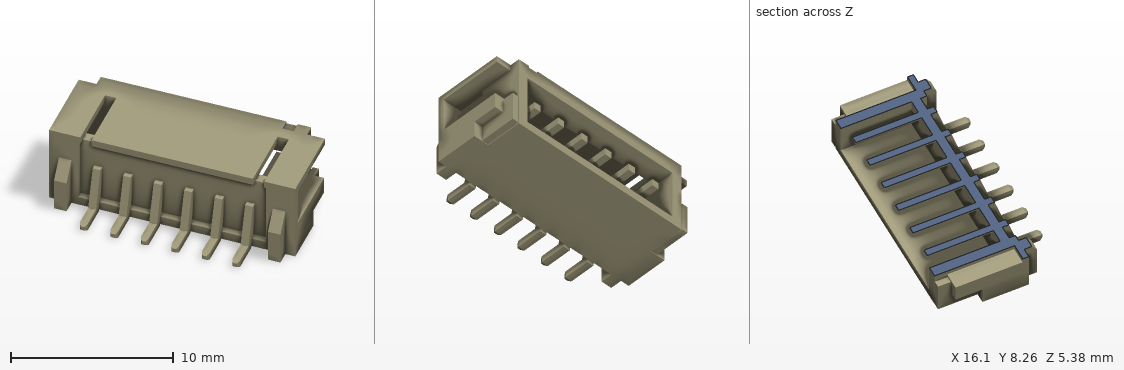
import cadquery as cq


body_width = 16.15
body_height = 5.38
body_depth = 5.9
half_width = body_width / 2
roof_thickness = 0.48
roof_under_z = body_height - roof_thickness

side_recess_depth = 1.17
front_wall = 0.43
cheek_top_z = 2.37
cheek_back_y = 5.02
cheek_step_z = 1.2
cheek_step_y = 3.18
ear_back_y = 5.17

side_pocket_length = 2.25
side_pocket_bottom_z = 4.27
side_pocket_depth = 0.3

cavity_half_width = 6.16
cavity_floor_z = 0.59
web_back_y = 1.07
lip_front_y = 4.33
lip_bottom_z = side_pocket_bottom_z

slot_inner_x = 5.29
slot_width = 0.74
notch_depth = 0.15

pin_count = 6
pin_pitch = 2.0
pin_size = 0.51
pin_top_z = 3.06
pin_back_y = 5.58
pin_bend_y = 0.1
foot_bend_y = -0.68
heel_y = -0.2
foot_tip_y = -2.36
tip_length = 0.22
tip_inset = 0.12

clip_outer_inset = 0.65
tab_width = 0.82
tab_front_y = -0.87
tab_top_z = 3.4
clip_shoulder_z = 2.22
sheet_thickness = 0.44
sheet_bottom_z = 0.04


def box(x0, x1, y0, y1, z0, z1):
    """Box spanning the given limits."""
    return cq.Workplane("XY").box(x1 - x0, y1 - y0, z1 - z0, centered=False).translate((x0, y0, z0))


def mirrored_pair(left):
    """A left-hand feature together with its mirror image across X = 0."""
    return left.union(left.mirror("YZ"))


def extruded_side_profile(points, x0, width):
    """Closed (Y, Z) outline extruded along +X from x0."""
    return cq.Workplane("YZ", origin=(x0, 0, 0)).polyline(points).close().extrude(width)


def side_cuts():
    """Material removed from the left end to form the ear, recess and cheek."""
    x0 = -half_width
    x1 = x0 + side_recess_depth
    recess = box(x0, x1, front_wall, body_depth, cheek_top_z, roof_under_z)
    ear_end = box(x0, x1, ear_back_y, body_depth, 0, body_height)
    cheek_end = box(x0, x1, cheek_back_y, body_depth, 0, cheek_top_z)
    cheek_step = box(x0, x1, cheek_step_y, body_depth, 0, cheek_step_z)
    pocket = box(x1, x1 + side_pocket_depth, front_wall, front_wall + side_pocket_length,
                 side_pocket_bottom_z, roof_under_z)
    return recess.union(ear_end).union(cheek_end).union(cheek_step).union(pocket)


def roof_slot():
    """Left slot through the roof, open at the front."""
    x1 = -slot_inner_x
    return box(x1 - slot_width, x1, 0, lip_front_y, roof_under_z, body_height)


def housing():
    w = cavity_half_width
    body = box(-half_width, half_width, 0, body_depth, 0, body_height)
    body = body.cut(mirrored_pair(side_cuts()))
    body = body.cut(box(-w, w, 0, front_wall, cavity_floor_z, roof_under_z))
    body = body.cut(box(-w, w, web_back_y, lip_front_y, cavity_floor_z, roof_under_z))
    body = body.cut(box(-w, w, lip_front_y, body_depth, cavity_floor_z, lip_bottom_z))
    body = body.cut(mirrored_pair(roof_slot()))
    notch = box(slot_inner_x, slot_inner_x + slot_width, ear_back_y, body_depth,
                body_height - notch_depth, body_height)
    return body.cut(notch)


def pin(x_center):
    """Bent square pin: straight contact, sloping leg and tapered foot."""
    leg_slope = (pin_bend_y - foot_bend_y) / (pin_top_z - pin_size)
    tip_base_y = foot_tip_y + tip_length
    under_z = pin_top_z - pin_size
    profile = [
        (pin_back_y, pin_top_z),
        (pin_bend_y, pin_top_z),
        (foot_bend_y, pin_size),
        (tip_base_y, pin_size),
        (tip_base_y, 0),
        (heel_y, 0),
        (heel_y + leg_slope * under_z, under_z),
        (pin_back_y, under_z),
    ]
    shaft = extruded_side_profile(profile, x_center - pin_size / 2, pin_size)
    end_size = pin_size - 2 * tip_inset
    tip = (
        cq.Workplane("XZ", origin=(x_center, tip_base_y, pin_size / 2))
        .rect(pin_size, pin_size)
        .workplane(offset=tip_length)
        .rect(end_size, end_size)
        .loft(ruled=True)
    )
    return shaft.union(tip)


def clip():
    """Left hold-down clip: front solder tab and the sheet emerging at the back."""
    x0 = -half_width + clip_outer_inset
    tab_profile = [
        (0, 0),
        (tab_front_y, 0),
        (tab_front_y, clip_shoulder_z),
        (0, tab_top_z),
    ]
    tab = extruded_side_profile(tab_profile, x0, tab_width)
    sheet = box(x0, x0 + sheet_thickness, front_wall, body_depth, sheet_bottom_z, clip_shoulder_z)
    return tab.union(sheet)


result = housing().union(mirrored_pair(clip()))
for index in range(pin_count):
    result = result.union(pin((index - (pin_count - 1) / 2) * pin_pitch))